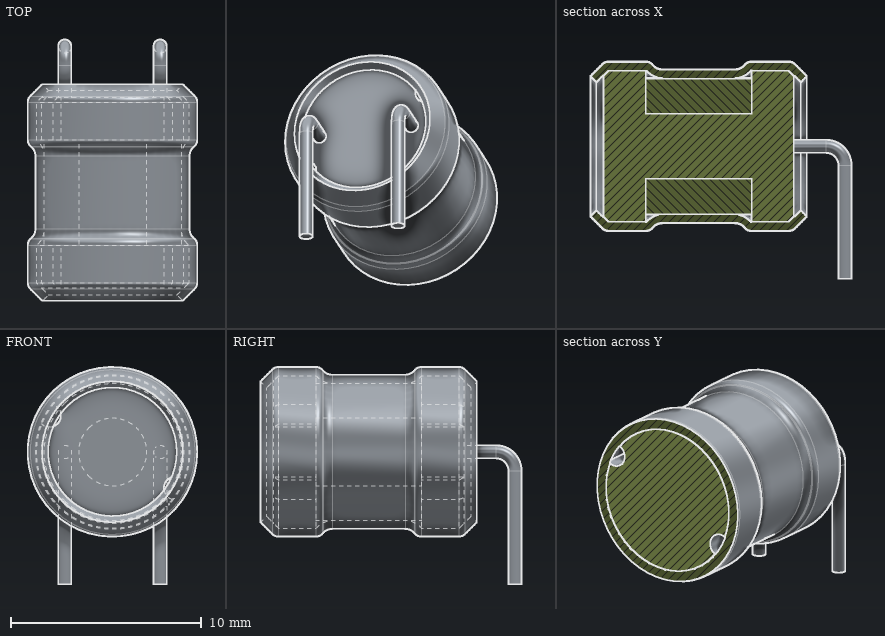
import cadquery as cq
import math


BODY_LENGTH = 11.36
TOTAL_LENGTH = 13.7
TOTAL_HEIGHT = 11.4
MID_Y = BODY_LENGTH / 2

SLEEVE_RADIUS = 8.9 / 2
WAIST_RADIUS = 8.1 / 2
WALL = 0.45
WAIST_START = 3.77
SHOULDER_ANGLE = 48.0
SHOULDER_HOLLOW = 0.65
LIP_RADIUS = 3.37

LIP = WALL * math.sqrt(0.5)

FLANGE_RADIUS = SLEEVE_RADIUS - WALL
FLANGE_END = 2.92
NECK_RADIUS = 3.56 / 2
FACE_RECESS = 0.37
FACE_Y = LIP + FACE_RECESS
FACE_RADIUS = LIP_RADIUS + FACE_RECESS
CHAMFER_END = LIP + FLANGE_RADIUS - LIP_RADIUS

NOTCH_RADIUS = 0.6
NOTCH_CENTRE = 3.81
NOTCH_ANGLES = (-30.0, 150.0)

WINDING_RADIUS = WAIST_RADIUS - WALL

PIN_RADIUS = 0.7 / 2
PIN_PITCH = 5.0
PIN_BEND = 1.0
PIN_Y = TOTAL_LENGTH - PIN_RADIUS
PIN_BOTTOM = SLEEVE_RADIUS - TOTAL_HEIGHT
PIN_START = BODY_LENGTH - FACE_Y


def revolve_about_y(profile):
    """Turn a closed (radius, Y) profile fully round the Y axis."""
    return profile.revolve(360, (0, 0, 0), (0, 1, 0))


def mirrored_copy(piece):
    """Reflect an end piece to the other side of the middle plane."""
    return piece.mirror("XZ", (0, MID_Y, 0))


def polar(centre, radius, degrees):
    """(radius, Y) point at an angle from the outward direction, positive towards +Y."""
    angle = math.radians(degrees)
    return (centre[0] + radius * math.cos(angle), centre[1] + radius * math.sin(angle))


def tube(outer_radius, inner_radius, start_y):
    """Ring between two radii, reaching from start_y to the same distance from the far end."""
    return revolve_about_y(
        cq.Workplane("XY")
        .moveTo(inner_radius, start_y)
        .lineTo(outer_radius, start_y)
        .lineTo(outer_radius, BODY_LENGTH - start_y)
        .lineTo(inner_radius, BODY_LENGTH - start_y)
        .close()
    )


def make_core():
    flange = revolve_about_y(
        cq.Workplane("XY")
        .moveTo(0, FACE_Y)
        .lineTo(FACE_RADIUS, FACE_Y)
        .lineTo(FLANGE_RADIUS, CHAMFER_END)
        .lineTo(FLANGE_RADIUS, FLANGE_END)
        .lineTo(0, FLANGE_END)
        .close()
    )
    for angle in NOTCH_ANGLES:
        turn = math.radians(angle)
        notch = cq.Solid.makeCylinder(
            NOTCH_RADIUS,
            FLANGE_END,
            cq.Vector(NOTCH_CENTRE * math.cos(turn), 0, NOTCH_CENTRE * math.sin(turn)),
            cq.Vector(0, 1, 0),
        )
        flange = flange.cut(cq.Workplane(notch))
    neck = tube(NECK_RADIUS, 0, FLANGE_END)
    return neck.union(flange).union(mirrored_copy(flange))


def make_winding():
    return tube(WINDING_RADIUS, NECK_RADIUS, FLANGE_END)


def make_sleeve():
    front_corner = (FLANGE_RADIUS, CHAMFER_END)
    rear_corner = (FLANGE_RADIUS, FLANGE_END)
    hollow_centre = (WAIST_RADIUS + SHOULDER_HOLLOW, WAIST_START)
    hollow_inner = SHOULDER_HOLLOW + WALL
    hollow_entry = 180 + SHOULDER_ANGLE
    hollow_middle = 180 + SHOULDER_ANGLE / 2
    sleeve_end = revolve_about_y(
        cq.Workplane("XY")
        .moveTo(LIP_RADIUS, LIP)
        .lineTo(LIP_RADIUS + LIP, 0)
        .lineTo(*polar(front_corner, WALL, -45))
        .threePointArc(polar(front_corner, WALL, -22.5), polar(front_corner, WALL, 0))
        .lineTo(*polar(rear_corner, WALL, 0))
        .threePointArc(
            polar(rear_corner, WALL, SHOULDER_ANGLE / 2),
            polar(rear_corner, WALL, SHOULDER_ANGLE),
        )
        .lineTo(*polar(hollow_centre, SHOULDER_HOLLOW, hollow_entry))
        .threePointArc(
            polar(hollow_centre, SHOULDER_HOLLOW, hollow_middle),
            (WAIST_RADIUS, WAIST_START),
        )
        .lineTo(WINDING_RADIUS, WAIST_START)
        .threePointArc(
            polar(hollow_centre, hollow_inner, hollow_middle),
            polar(hollow_centre, hollow_inner, hollow_entry),
        )
        .lineTo(*rear_corner)
        .lineTo(*front_corner)
        .close()
    )
    waist = tube(WAIST_RADIUS, WINDING_RADIUS, WAIST_START)
    return waist.union(sleeve_end).union(mirrored_copy(sleeve_end))


def make_pin(x):
    bend_start = PIN_Y - PIN_BEND
    bend_reach = PIN_BEND * math.sqrt(0.5)
    path = (
        cq.Workplane("YZ", origin=(x, 0, 0))
        .moveTo(PIN_START, 0)
        .lineTo(bend_start, 0)
        .threePointArc((bend_start + bend_reach, bend_reach - PIN_BEND), (PIN_Y, -PIN_BEND))
        .lineTo(PIN_Y, PIN_BOTTOM)
    )
    return cq.Workplane("XZ", origin=(x, PIN_START, 0)).circle(PIN_RADIUS).sweep(path)


core = make_core()
winding = make_winding()
sleeve = make_sleeve()
pins = [make_pin(side * PIN_PITCH / 2) for side in (-1, 1)]

result = cq.Compound.makeCompound(
    [core.val(), winding.val(), sleeve.val(), *[pin.val() for pin in pins]]
)